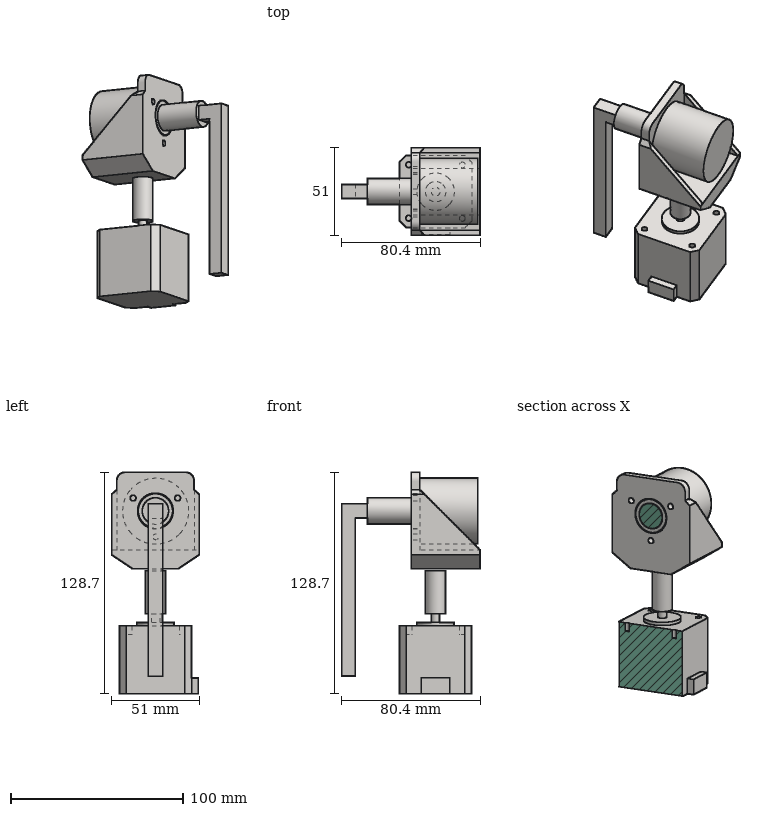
import cadquery as cq


MOTOR_WIDTH = 42.0
MOTOR_HEIGHT = 39.5
MOTOR_CHAMFER = 4.0
PILOT_DIA = 21.8
PILOT_HEIGHT = 1.9
MOTOR_SHAFT_DIA = 5.0
MOTOR_SHAFT_LENGTH = 5.0
MOTOR_HOLE_DIA = 3.3
MOTOR_HOLE_PITCH = 31.0
MOTOR_HOLE_DEPTH = 5.0
CONNECTOR_WIDTH = 16.5
CONNECTOR_HEIGHT = 9.3
CONNECTOR_DEPTH = 4.0

COUPLER_DIA = 11.8
COUPLER_LENGTH = 25.1
COUPLER_BOTTOM = MOTOR_HEIGHT + PILOT_HEIGHT + MOTOR_SHAFT_LENGTH

BRACKET_TOP = 128.7
BRACKET_HEIGHT = 56.1
BRACKET_WIDTH = 51.0
BRACKET_LENGTH = 40.0
BRACKET_FRONT = -14.0
PLATE_THICKNESS = 5.0
NECK_HEIGHT = 10.2
NECK_RADIUS = 5.0
SHOULDER_DROP = 2.7
WALL_THICKNESS = 3.0
BEVEL_WIDTH = 12.1
BEVEL_HEIGHT = 8.1
PLATE_HOLE_DIA = 3.3
PLATE_HOLE_COUNT = 3
PLATE_HOLE_CIRCLE_RADIUS = 14.9
BOSS_BORE_DIA = 20.7

BRACKET_BOTTOM = BRACKET_TOP - BRACKET_HEIGHT
PLATE_BACK = BRACKET_FRONT + PLATE_THICKNESS
NECK_BASE = BRACKET_TOP - NECK_HEIGHT
FLOOR_TOP = NECK_BASE - (BRACKET_LENGTH - PLATE_THICKNESS)

AXIS_HEIGHT = 106.2
GEARBOX_DIA = 38.4
GEARBOX_LENGTH = 33.7
BOSS_DIA = 20.0

OUTPUT_DIA = 15.3
OUTPUT_LENGTH = 25.5
OUTPUT_FRONT = BRACKET_FRONT - OUTPUT_LENGTH
ARM_WIDTH = 8.4
ARM_THICKNESS = 8.0
ARM_REACH = 14.9
ARM_LENGTH = 100.1


def x_cylinder(diameter, start, length):
    """Cylinder on the horizontal drive axis, running toward +X from start."""
    return (
        cq.Workplane("YZ", origin=(start, 0, AXIS_HEIGHT))
        .circle(diameter / 2)
        .extrude(length)
    )


def make_motor():
    """Square motor with chamfered corners, pilot, shaft, screw holes and connector."""
    body = (
        cq.Workplane("XY")
        .rect(MOTOR_WIDTH, MOTOR_WIDTH)
        .extrude(MOTOR_HEIGHT)
        .edges("|Z")
        .chamfer(MOTOR_CHAMFER)
    )
    body = (
        body.faces(">Z")
        .workplane()
        .rect(MOTOR_HOLE_PITCH, MOTOR_HOLE_PITCH, forConstruction=True)
        .vertices()
        .hole(MOTOR_HOLE_DIA, MOTOR_HOLE_DEPTH)
    )
    pilot = (
        cq.Workplane("XY", origin=(0, 0, MOTOR_HEIGHT))
        .circle(PILOT_DIA / 2)
        .extrude(PILOT_HEIGHT)
    )
    shaft = (
        cq.Workplane("XY", origin=(0, 0, MOTOR_HEIGHT + PILOT_HEIGHT))
        .circle(MOTOR_SHAFT_DIA / 2)
        .extrude(MOTOR_SHAFT_LENGTH)
    )
    connector_front = -MOTOR_WIDTH / 2 - CONNECTOR_DEPTH
    connector = cq.Workplane("XY", origin=(0, connector_front, 0)).box(
        CONNECTOR_WIDTH,
        CONNECTOR_DEPTH,
        CONNECTOR_HEIGHT,
        centered=(True, False, False),
    )
    return body.union(pilot).union(shaft).union(connector)


def make_coupler():
    """Plain round coupler standing on the end of the motor shaft."""
    return (
        cq.Workplane("XY", origin=(0, 0, COUPLER_BOTTOM))
        .circle(COUPLER_DIA / 2)
        .extrude(COUPLER_LENGTH)
    )


def bracket_block():
    """Front outline of the bracket, extruded over its full length."""
    half_width = BRACKET_WIDTH / 2
    half_neck = half_width - WALL_THICKNESS
    half_base = half_width - BEVEL_WIDTH
    shoulder = NECK_BASE - SHOULDER_DROP
    bevel_top = BRACKET_BOTTOM + BEVEL_HEIGHT
    block = (
        cq.Workplane("YZ", origin=(BRACKET_FRONT, 0, 0))
        .moveTo(-half_base, BRACKET_BOTTOM)
        .lineTo(half_base, BRACKET_BOTTOM)
        .lineTo(half_width, bevel_top)
        .lineTo(half_width, shoulder)
        .lineTo(half_neck, NECK_BASE)
        .lineTo(half_neck, BRACKET_TOP)
        .lineTo(-half_neck, BRACKET_TOP)
        .lineTo(-half_neck, NECK_BASE)
        .lineTo(-half_width, shoulder)
        .lineTo(-half_width, bevel_top)
        .close()
        .extrude(BRACKET_LENGTH)
    )
    top_corners = block.faces(">Z").edges("|X")
    return top_corners.fillet(NECK_RADIUS)


def bracket_side_profile():
    """Side outline of the bracket: upright plate, 45 degree slope and floor end."""
    back = BRACKET_FRONT + BRACKET_LENGTH
    return (
        cq.Workplane("XZ")
        .moveTo(BRACKET_FRONT, BRACKET_BOTTOM)
        .lineTo(back, BRACKET_BOTTOM)
        .lineTo(back, FLOOR_TOP)
        .lineTo(PLATE_BACK, NECK_BASE)
        .lineTo(PLATE_BACK, BRACKET_TOP)
        .lineTo(BRACKET_FRONT, BRACKET_TOP)
        .close()
        .extrude(BRACKET_WIDTH / 2, both=True)
    )


def bracket_pocket():
    """Open space between the side walls, above the floor and behind the plate."""
    return cq.Workplane("XY", origin=(PLATE_BACK, 0, FLOOR_TOP)).box(
        BRACKET_LENGTH - PLATE_THICKNESS,
        BRACKET_WIDTH - 2 * WALL_THICKNESS,
        BRACKET_TOP - FLOOR_TOP,
        centered=(False, True, False),
    )


def plate_holes():
    """Screw holes on a circle round the drive axis, one of them straight below it."""
    return (
        cq.Workplane("YZ", origin=(BRACKET_FRONT, 0, AXIS_HEIGHT))
        .polarArray(PLATE_HOLE_CIRCLE_RADIUS, -90, 360, PLATE_HOLE_COUNT)
        .circle(PLATE_HOLE_DIA / 2)
        .extrude(PLATE_THICKNESS)
    )


def make_bracket():
    """Bracket with the boss bore and screw holes through its front plate."""
    boss_bore = x_cylinder(BOSS_BORE_DIA, BRACKET_FRONT, PLATE_THICKNESS)
    shell = bracket_block().intersect(bracket_side_profile()).cut(bracket_pocket())
    return shell.cut(boss_bore).cut(plate_holes())


def make_gearbox():
    """Round gearbox against the plate, its boss ending flush with the plate front."""
    can = x_cylinder(GEARBOX_DIA, PLATE_BACK, GEARBOX_LENGTH)
    boss = x_cylinder(BOSS_DIA, BRACKET_FRONT, PLATE_THICKNESS)
    return can.union(boss)


def make_output_shaft():
    """Plain round shaft from the gearbox boss to the crank arm."""
    return x_cylinder(OUTPUT_DIA, OUTPUT_FRONT, OUTPUT_LENGTH)


def make_arm():
    """L-shaped square bar hanging down from the end of the output shaft."""
    tip = OUTPUT_FRONT - ARM_REACH
    inner = tip + ARM_THICKNESS
    top = AXIS_HEIGHT + ARM_WIDTH / 2
    return (
        cq.Workplane("XZ")
        .moveTo(OUTPUT_FRONT, top)
        .lineTo(tip, top)
        .lineTo(tip, top - ARM_LENGTH)
        .lineTo(inner, top - ARM_LENGTH)
        .lineTo(inner, top - ARM_WIDTH)
        .lineTo(OUTPUT_FRONT, top - ARM_WIDTH)
        .close()
        .extrude(ARM_WIDTH / 2, both=True)
    )


motor = make_motor()
coupler = make_coupler()
bracket = make_bracket()
gearbox = make_gearbox()
output_shaft = make_output_shaft()
arm = make_arm()

result = cq.Compound.makeCompound([
    motor.val(),
    coupler.val(),
    bracket.val(),
    gearbox.val(),
    output_shaft.val(),
    arm.val(),
])